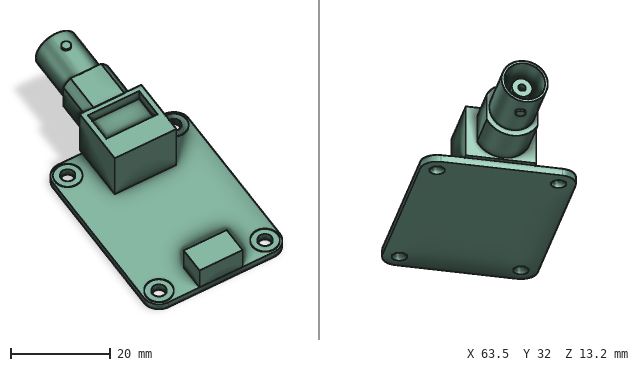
import cadquery as cq

overall_length = 63.5
board_length = 42.05
board_width = 32.0
board_thickness = 1.6
corner_radius = 3.5

hole_diameter = 3.1
pad_diameter = 6.0
pad_height = 0.2

housing_length = 13.45
housing_width = 14.55
housing_offset = 0.3
housing_top = 13.0

window_length = 7.1
window_width = 12.05
window_inset = 1.15
window_depth = 2.5

axis_height = 8.0
barrel_length = 11.5
barrel_diameter = 9.5
bore_diameter = 8.4
collar_length = 9.0
collar_diameter = 12.05
collar_width = 10.55
collar_top = 12.8

core_diameter = 4.2
core_recess = 2.55
contact_diameter = 1.5

lug_diameter = 2.05
lug_span = 10.4
lug_position = 4.0

header_length = 6.1
header_width = 10.15
header_height = 5.4

board_start = overall_length - board_length
collar_end = barrel_length + collar_length
hole_spacing_x = board_length - 2 * corner_radius
hole_spacing_y = board_width - 2 * corner_radius


def block(x_start, y_centre, z_bottom, length, width, height):
    """Rectangular block given by its low X face, its Y centre and its bottom."""
    base = cq.Workplane("XY", origin=(x_start + length / 2, y_centre, z_bottom))
    return base.rect(length, width).extrude(height)


def rod(x_start, diameter, length):
    """Cylinder on the socket axis, running toward +X."""
    return cq.Workplane("YZ", origin=(x_start, 0, axis_height)).circle(diameter / 2).extrude(length)


def make_board():
    plate = block(board_start, 0, 0, board_length, board_width, board_thickness)
    plate = plate.edges("|Z").fillet(corner_radius)
    hole_layout = cq.Workplane("XY", origin=(board_start + board_length / 2, 0, 0))
    hole_layout = hole_layout.rect(hole_spacing_x, hole_spacing_y, forConstruction=True).vertices()
    raised_thickness = board_thickness + pad_height
    pads = hole_layout.circle(pad_diameter / 2).extrude(raised_thickness)
    holes = hole_layout.circle(hole_diameter / 2).extrude(raised_thickness)
    return plate.union(pads).cut(holes)


def make_housing():
    housing = block(
        collar_end, housing_offset, board_thickness,
        housing_length, housing_width, housing_top - board_thickness,
    )
    window = block(
        collar_end + window_inset, housing_offset, housing_top - window_depth,
        window_length, window_width, window_depth,
    )
    return housing.cut(window)


def make_collar():
    """Round collar with flats on both sides and on top."""
    collar = rod(barrel_length, collar_diameter, collar_length)
    flats = block(barrel_length, 0, 0, collar_length, collar_width, collar_top)
    return collar.intersect(flats)


def make_barrel():
    """Hollow barrel with a bayonet lug on its top and another on its underside."""
    lugs = cq.Workplane("XY", origin=(lug_position, 0, axis_height - lug_span / 2))
    lugs = lugs.circle(lug_diameter / 2).extrude(lug_span)
    bore = rod(0, bore_diameter, barrel_length)
    return rod(0, barrel_diameter, barrel_length).union(lugs).cut(bore)


def make_core():
    """Core set back inside the barrel, with the contact hole along its axis."""
    core_length = barrel_length - core_recess
    contact_hole = rod(core_recess, contact_diameter, core_length)
    return rod(core_recess, core_diameter, core_length).cut(contact_hole)


def make_socket():
    return make_housing().union(make_collar()).union(make_barrel()).union(make_core())


def make_header():
    return block(
        overall_length - header_length, 0, board_thickness,
        header_length, header_width, header_height,
    )


board = make_board()
socket = make_socket()
header = make_header()

result = cq.Compound.makeCompound([board.val(), socket.val(), header.val()])